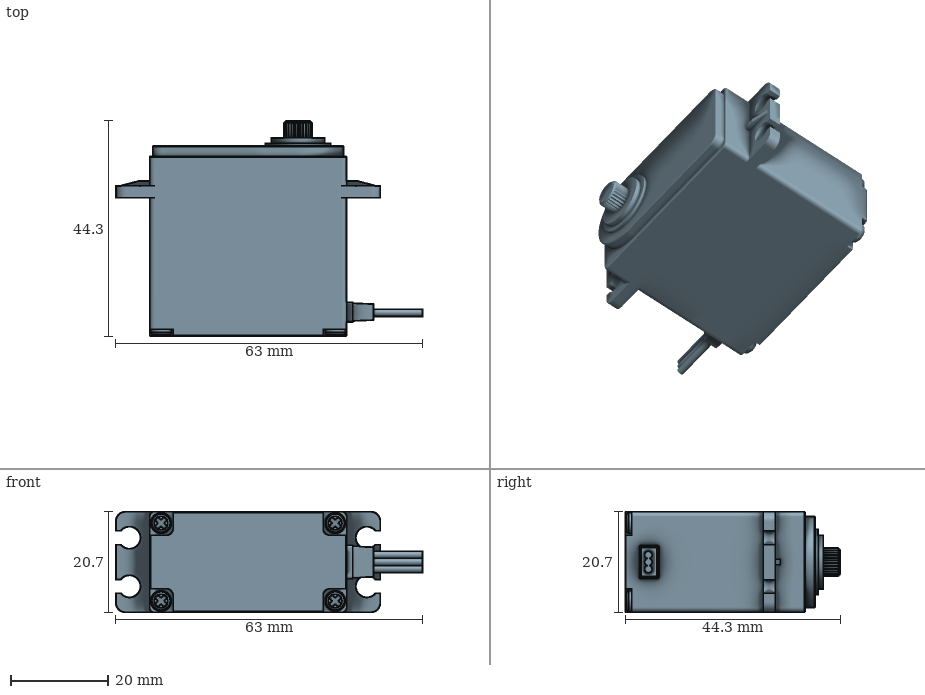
import cadquery as cq
import math


CASE_LENGTH = 40.5
CASE_WIDTH = 20.7
CASE_TOP = 37.0
CASE_CORNER_RADIUS = 1.0
CASE_EDGE_CHAMFER = 0.2

PLATE_TOP = 39.1
PLATE_END_INSET = 0.6
PLATE_RADIUS = 9.4
PLATE_CORNER_RADIUS = 2.0
PLATE_EDGE_CHAMFER = 0.2
PLATE_END = CASE_LENGTH / 2 - PLATE_END_INSET
SHAFT_X = PLATE_END - PLATE_RADIUS

COLLAR_DIAMETER = 13.5
COLLAR_TOP = 39.7
BOSS_DIAMETER = 11.1
BOSS_TOP = 40.75
SPLINE_TOP = 44.25
SPLINE_DIAMETER = 5.85
SPLINE_ROOT_DIAMETER = 5.3
SPLINE_TEETH = 25
SPLINE_TIP_CHAMFER = 0.5

TAB_SPAN = 54.4
TAB_BOTTOM = 28.4
TAB_THICKNESS = 2.5
TAB_TOP = TAB_BOTTOM + TAB_THICKNESS
TAB_CORNER_RADIUS = 2.0
MOUNT_HOLE_X = 24.4
MOUNT_HOLE_Z = 5.0
MOUNT_HOLE_DIAMETER = 4.5
MOUNT_SLOT_WIDTH = 2.8

RIB_WIDTH = 1.1
RIB_HEIGHT = 1.0
RIB_FLAT_END = 22.5
RIB_TOE = 26.3

SCREW_X = 17.9
SCREW_Z = 8.0
POCKET_DEPTH = 1.4
POCKET_HALF_SIZE = 2.5
POCKET_CORNER_RADIUS = 1.4
SCREW_RIM_DIAMETER = 4.2
SCREW_RIM_HEIGHT = 0.6
SCREW_SHOULDER_DIAMETER = 3.75
SCREW_SHOULDER_HEIGHT = 1.05
SCREW_FACE_DIAMETER = 2.8
CROSS_LENGTH = 2.7
CROSS_WIDTH = 0.92
CROSS_DEPTH = 0.7
CROSS_ANGLE = 45

RELIEF_Y = 4.95
RELIEF_BASE_END = 21.5
RELIEF_BASE_HEIGHT = 4.1
RELIEF_BASE_WIDTH = 6.9
RELIEF_STEP = 0.2
RELIEF_END = 25.8
RELIEF_TAPER_ANGLE = 2.5
RELIEF_CORNER_RADIUS = 0.5
SLEEVE_CORNER_RADIUS = RELIEF_CORNER_RADIUS - RELIEF_STEP
SLEEVE_END_CHAMFER = 0.1
WIRE_Y = 4.8
WIRE_COUNT = 3
WIRE_DIAMETER = 1.55
WIRE_PITCH = 1.45
WIRE_END = 35.85

OVERLAP = 0.5


def plane_at_y(y, x=0, z=0):
    """Plane facing +Y; its local axes are X and -Z."""
    return cq.Workplane("XZ", origin=(x, y, z)).workplane(invert=True)


def disc(x, z, diameter, bottom, top):
    return plane_at_y(bottom, x, z).circle(diameter / 2).extrude(top - bottom)


def toothed_outline(teeth, tip_diameter, root_diameter):
    """Closed zigzag of tooth tips and roots about the origin."""
    points = []
    for i in range(2 * teeth):
        radius = (tip_diameter if i % 2 == 0 else root_diameter) / 2
        angle = math.pi * i / teeth
        points.append((radius * math.cos(angle), radius * math.sin(angle)))
    return points


def make_case():
    case = plane_at_y(0).rect(CASE_LENGTH, CASE_WIDTH).extrude(CASE_TOP)
    case = case.edges("|Y").fillet(CASE_CORNER_RADIUS)
    return case.faces("<Y or >Y").chamfer(CASE_EDGE_CHAMFER)


def make_plate():
    base = CASE_TOP - OVERLAP
    plate = (
        plane_at_y(base)
        .moveTo(-PLATE_END, -PLATE_RADIUS)
        .lineTo(SHAFT_X, -PLATE_RADIUS)
        .threePointArc((PLATE_END, 0), (SHAFT_X, PLATE_RADIUS))
        .lineTo(-PLATE_END, PLATE_RADIUS)
        .close()
        .extrude(PLATE_TOP - base)
    )
    plate = plate.edges("|Y and <X").fillet(PLATE_CORNER_RADIUS)
    return plate.faces(">Y").chamfer(PLATE_EDGE_CHAMFER)


def make_output_shaft():
    collar = disc(SHAFT_X, 0, COLLAR_DIAMETER, PLATE_TOP - OVERLAP, COLLAR_TOP)
    boss = disc(SHAFT_X, 0, BOSS_DIAMETER, PLATE_TOP - OVERLAP, BOSS_TOP)
    base = BOSS_TOP - OVERLAP
    spline = (
        plane_at_y(base, SHAFT_X)
        .polyline(toothed_outline(SPLINE_TEETH, SPLINE_DIAMETER, SPLINE_ROOT_DIAMETER))
        .close()
        .extrude(SPLINE_TOP - base)
    )
    envelope = disc(SHAFT_X, 0, SPLINE_DIAMETER, base, SPLINE_TOP)
    envelope = envelope.faces(">Y").chamfer(SPLINE_TIP_CHAMFER)
    return collar.union(boss).union(spline.intersect(envelope))


def make_tabs():
    tabs = plane_at_y(TAB_BOTTOM).rect(TAB_SPAN, CASE_WIDTH).extrude(TAB_THICKNESS)
    tabs = tabs.edges("|Y").fillet(TAB_CORNER_RADIUS)
    slot_length = TAB_SPAN / 2 - MOUNT_HOLE_X
    for side in (-1, 1):
        for z in (-MOUNT_HOLE_Z, MOUNT_HOLE_Z):
            hole_x = side * MOUNT_HOLE_X
            hole = disc(hole_x, z, MOUNT_HOLE_DIAMETER, TAB_BOTTOM, TAB_TOP)
            slot = (
                plane_at_y(TAB_BOTTOM, hole_x + side * slot_length / 2, z)
                .rect(slot_length, MOUNT_SLOT_WIDTH)
                .extrude(TAB_THICKNESS)
            )
            tabs = tabs.cut(hole).cut(slot)
    return tabs


def make_ribs():
    """Both ribs as one bar through the case, sloping down to each tab."""
    rib_top = TAB_TOP + RIB_HEIGHT
    return (
        cq.Workplane("XY")
        .moveTo(-RIB_TOE, TAB_TOP)
        .lineTo(-RIB_FLAT_END, rib_top)
        .lineTo(RIB_FLAT_END, rib_top)
        .lineTo(RIB_TOE, TAB_TOP)
        .lineTo(RIB_TOE, TAB_TOP - OVERLAP)
        .lineTo(-RIB_TOE, TAB_TOP - OVERLAP)
        .close()
        .extrude(RIB_WIDTH / 2, both=True)
    )


def make_corner_pocket(side_x, side_z):
    """Pocket open to both outer sides of a case corner, rounded at its inner corner."""
    inner_x = SCREW_X - POCKET_HALF_SIZE
    inner_z = SCREW_Z - POCKET_HALF_SIZE
    size_x = CASE_LENGTH / 2 - inner_x
    size_z = CASE_WIDTH / 2 - inner_z
    pocket = (
        plane_at_y(0, side_x * (inner_x + size_x / 2), side_z * (inner_z + size_z / 2))
        .rect(size_x, size_z)
        .extrude(POCKET_DEPTH)
    )
    inner_edge = pocket.edges("|Y").edges(cq.selectors.NearestToPointSelector((0, 0, 0)))
    return inner_edge.fillet(POCKET_CORNER_RADIUS)


def make_screw_head(x, z):
    """Domed head on the pocket floor, flush with the case bottom, with a diagonal cross recess."""
    base_y = POCKET_DEPTH + OVERLAP
    head = (
        cq.Workplane("XY", origin=(x, 0, z))
        .moveTo(0, base_y)
        .lineTo(SCREW_RIM_DIAMETER / 2, base_y)
        .lineTo(SCREW_RIM_DIAMETER / 2, POCKET_DEPTH - SCREW_RIM_HEIGHT)
        .lineTo(SCREW_SHOULDER_DIAMETER / 2, POCKET_DEPTH - SCREW_SHOULDER_HEIGHT)
        .lineTo(SCREW_FACE_DIAMETER / 2, 0)
        .lineTo(0, 0)
        .close()
        .revolve(360, (0, 0), (0, 1))
    )
    for angle in (-CROSS_ANGLE, CROSS_ANGLE):
        arm = (
            plane_at_y(0, x, z)
            .transformed(rotate=(0, 0, angle))
            .rect(CROSS_LENGTH, CROSS_WIDTH)
            .extrude(CROSS_DEPTH)
        )
        head = head.cut(arm)
    return head


def make_cable():
    base_start = CASE_LENGTH / 2 - OVERLAP
    base = (
        cq.Workplane("YZ", origin=(base_start, RELIEF_Y, 0))
        .rect(RELIEF_BASE_HEIGHT, RELIEF_BASE_WIDTH)
        .extrude(RELIEF_BASE_END - base_start)
        .edges("|X")
        .fillet(RELIEF_CORNER_RADIUS)
    )
    sleeve_outline = cq.Sketch().rect(
        RELIEF_BASE_HEIGHT - 2 * RELIEF_STEP, RELIEF_BASE_WIDTH - 2 * RELIEF_STEP
    )
    sleeve = (
        cq.Workplane("YZ", origin=(RELIEF_BASE_END, RELIEF_Y, 0))
        .placeSketch(sleeve_outline.vertices().fillet(SLEEVE_CORNER_RADIUS))
        .extrude(RELIEF_END - RELIEF_BASE_END, taper=RELIEF_TAPER_ANGLE)
        .faces(">X")
        .chamfer(SLEEVE_END_CHAMFER)
    )
    cable = base.union(sleeve)
    wire_start = RELIEF_END - OVERLAP
    for i in range(WIRE_COUNT):
        z = (i - (WIRE_COUNT - 1) / 2) * WIRE_PITCH
        wire = (
            cq.Workplane("YZ", origin=(wire_start, WIRE_Y, z))
            .circle(WIRE_DIAMETER / 2)
            .extrude(WIRE_END - wire_start)
        )
        cable = cable.union(wire)
    return cable


def add_cover_screws(body):
    for side_x in (-1, 1):
        for side_z in (-1, 1):
            body = body.cut(make_corner_pocket(side_x, side_z))
            body = body.union(make_screw_head(side_x * SCREW_X, side_z * SCREW_Z))
    return body


servo = make_case().union(make_plate()).union(make_output_shaft())
servo = servo.union(make_tabs()).union(make_ribs()).union(make_cable())
result = add_cover_screws(servo)